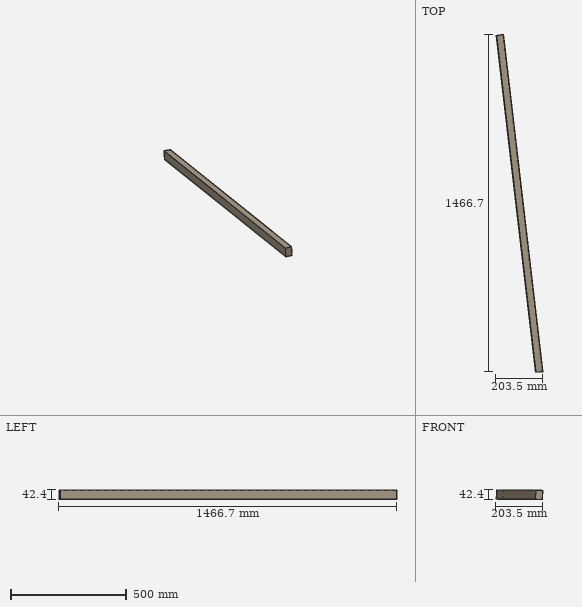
import cadquery as cq
import math

bar_width = 30.0
bar_height = 40.4
centre_length = 1472.89
mitre_angle = 3.5

roll_angle = 4.0
yaw_angle = 6.666


def mitred_bar():
    """Upright bar along Y, with its end faces tapering towards each other on the -X side."""
    half_width = bar_width / 2
    mitre_offset = half_width * math.tan(math.radians(mitre_angle))
    short_half = centre_length / 2 - mitre_offset
    long_half = centre_length / 2 + mitre_offset
    outline = [
        (-half_width, -short_half),
        (half_width, -long_half),
        (half_width, long_half),
        (-half_width, short_half),
    ]
    return (
        cq.Workplane("XY", origin=(0, 0, -bar_height / 2))
        .polyline(outline)
        .close()
        .extrude(bar_height)
    )


def rolled_and_yawed(bar):
    """Roll the bar about its long axis, then turn it about Z."""
    rolled = bar.rotate((0, 0, 0), (0, 1, 0), roll_angle)
    return rolled.rotate((0, 0, 0), (0, 0, 1), yaw_angle)


result = rolled_and_yawed(mitred_bar())